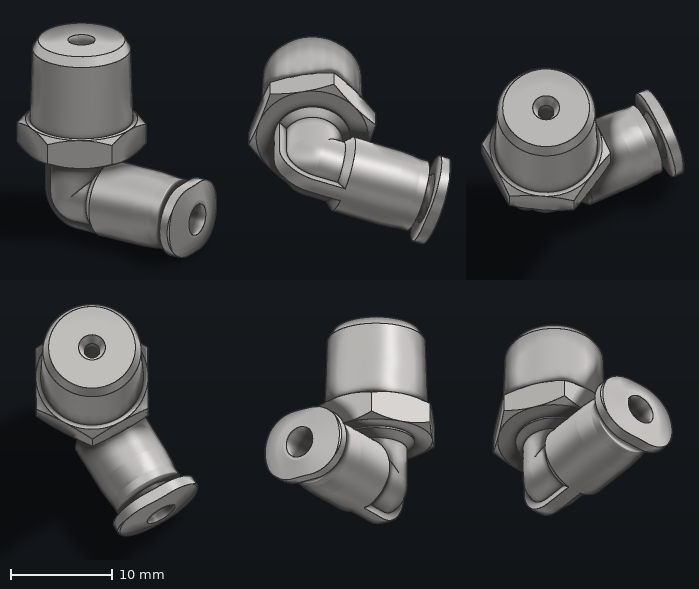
import cadquery as cq
import math


stud_top_z = 16.3
stud_chamfer_height = 0.92
stud_tip_radius = 4.3
stud_small_radius = 4.86
stud_base_radius = 5.1

hex_corner_diameter = 12.82
hex_apothem = hex_corner_diameter / 2 * math.cos(math.radians(30))
hex_bottom_z = 4.8
hex_height = 3.02
hex_top_z = hex_bottom_z + hex_height
hex_chamfer_height = 0.5

port_radius = 7.6 / 2
elbow_radius = 3.05
rib_width = 1.5
collar_height = 0.2
elbow_cone_height = port_radius - elbow_radius

port_cone_start_x = 2.41
port_start_x = 3.22
port_taper_start_x = 8.18
port_taper_end_x = 10.17
port_end_x = 11.1
port_end_radius = 7.2 / 2
port_edge_round = 0.12

neck_radius = 4.58 / 2
neck_flare_start_x = 11.65
neck_flare_radius = 2.53
button_start_x = 11.98
button_end_x = 13.5
button_end_radius = 7.2 / 2
button_length = 9.2
button_face_radius = 1.93
button_cone_drop = 0.5
button_rim_chamfer = 0.16

bore_radius = 1.5 / 2
bore_mouth_radius = 1.33
bore_mouth_depth = 1.0
socket_radius = 3.18 / 2
socket_start_x = port_start_x


def turned_about_z(profile):
    """Solid of revolution about Z from (radius, z) points."""
    return cq.Workplane("XZ").polyline(profile).close().revolve(360, (0, 0), (0, 1))


def turned_about_x(profile):
    """Solid of revolution about X from (x, radius) points."""
    return cq.Workplane("XZ").polyline(profile).close().revolve(360, (0, 0), (1, 0))


def round_elbow(radius, top_z, end_x):
    """Vertical and horizontal rods joined by a ball at the origin."""
    vertical = cq.Workplane("XY").circle(radius).extrude(top_z)
    horizontal = cq.Workplane("YZ").circle(radius).extrude(end_x)
    return cq.Workplane("XY").sphere(radius).union(vertical).union(horizontal)


def make_stud():
    return turned_about_z([
        (0, hex_top_z),
        (stud_base_radius, hex_top_z),
        (stud_small_radius, stud_top_z - stud_chamfer_height),
        (stud_tip_radius, stud_top_z),
        (0, stud_top_z),
    ])


def make_hexagon():
    prism = (
        cq.Workplane("XY", origin=(0, 0, hex_bottom_z))
        .polygon(6, hex_corner_diameter)
        .extrude(hex_height)
        .rotate((0, 0, 0), (0, 0, 1), 30)
    )
    corner_radius = hex_corner_diameter / 2
    corner_chamfers = turned_about_z([
        (0, hex_bottom_z),
        (hex_apothem, hex_bottom_z),
        (corner_radius, hex_bottom_z + hex_chamfer_height),
        (corner_radius, hex_top_z - hex_chamfer_height),
        (hex_apothem, hex_top_z),
        (0, hex_top_z),
    ])
    return prism.intersect(corner_chamfers)


def make_elbow():
    body = round_elbow(elbow_radius, hex_bottom_z, port_start_x)
    collar_bottom_z = hex_bottom_z - collar_height
    collar = turned_about_z([
        (0, hex_bottom_z),
        (port_radius, hex_bottom_z),
        (port_radius, collar_bottom_z),
        (elbow_radius, collar_bottom_z - elbow_cone_height),
        (0, collar_bottom_z - elbow_cone_height),
    ])
    return body.union(collar)


def make_rib():
    """Slice of a larger elbow, kept to the outside of the bend."""
    slab_size = 4 * port_radius
    slab = cq.Workplane("XY").box(slab_size, rib_width, slab_size)
    inside_of_bend = (
        cq.Workplane("XY")
        .box(slab_size, slab_size, slab_size, centered=(False, True, False))
    )
    outer_elbow = round_elbow(port_radius, hex_bottom_z, port_start_x)
    return outer_elbow.intersect(slab).cut(inside_of_bend)


def make_port():
    """Port with a tangent barrel taper, a rounded mouth and a neck that flares to the button."""
    profile = (
        cq.Workplane("XZ")
        .moveTo(port_cone_start_x, 0)
        .lineTo(port_cone_start_x, elbow_radius)
        .lineTo(port_start_x, port_radius)
        .lineTo(port_taper_start_x, port_radius)
        .tangentArcPoint((port_taper_end_x, port_end_radius), relative=False)
        .lineTo(port_end_x - port_edge_round, port_end_radius)
        .tangentArcPoint((port_end_x, port_end_radius - port_edge_round), relative=False)
        .lineTo(port_end_x, neck_radius)
        .lineTo(neck_flare_start_x, neck_radius)
        .tangentArcPoint((button_start_x, neck_flare_radius), relative=False)
        .lineTo(button_start_x, 0)
        .close()
    )
    return profile.revolve(360, (0, 0), (1, 0))


def make_button():
    """Oval plate with a conical outer face and a chamfered rim."""
    plate = (
        cq.Workplane("YZ", origin=(button_start_x, 0, 0))
        .slot2D(button_length, 2 * button_end_radius)
        .extrude(button_end_x - button_start_x)
    )
    rim_radius = button_length / 2
    cone_base_x = button_end_x - button_cone_drop
    cone = turned_about_x([
        (button_start_x, 0),
        (button_start_x, rim_radius),
        (cone_base_x - button_rim_chamfer, rim_radius),
        (cone_base_x, rim_radius - button_rim_chamfer),
        (button_end_x, button_face_radius),
        (button_end_x, 0),
    ])
    return plate.intersect(cone)


def make_passage():
    bore = round_elbow(bore_radius, stud_top_z, button_end_x)
    mouth = turned_about_z([
        (0, stud_top_z),
        (bore_mouth_radius, stud_top_z),
        (bore_radius, stud_top_z - bore_mouth_depth),
        (0, stud_top_z - bore_mouth_depth),
    ])
    socket = (
        cq.Workplane("YZ", origin=(socket_start_x, 0, 0))
        .circle(socket_radius)
        .extrude(button_end_x - socket_start_x)
    )
    return bore.union(mouth).union(socket)


result = (
    make_stud()
    .union(make_hexagon())
    .union(make_elbow())
    .union(make_rib())
    .union(make_port())
    .union(make_button())
    .cut(make_passage())
)